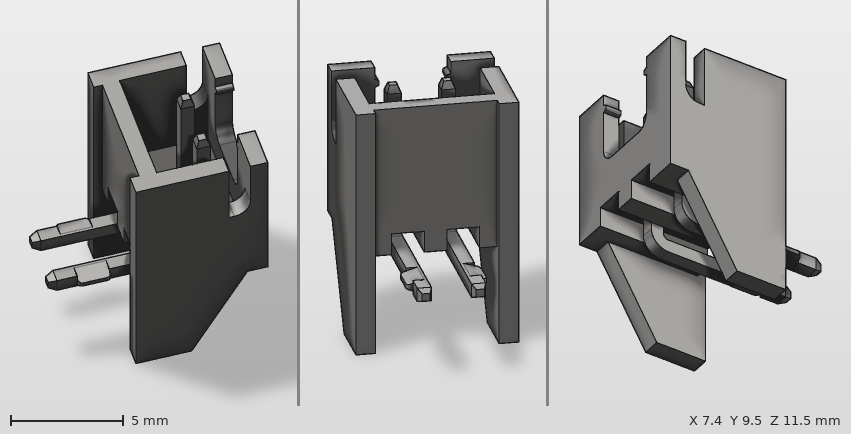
import cadquery as cq
import math


HEIGHT = 11.5
WIDTH = 7.4
DEPTH = 6.12
SIDE_WALL = 0.85
BACK_WALL = 0.8
BODY_HEIGHT = 7.0
BODY_BOTTOM = HEIGHT - BODY_HEIGHT
FLOOR_THICKNESS = 0.8

FRONT_RECESS_DEPTH = 0.41
SIDE_WALL_FRONT = 0.9
FRONT_FACE_Y = FRONT_RECESS_DEPTH - DEPTH
FRONT_WALL = 0.8

SLOPE_START = 0.94
SLOPE_END = 3.53

CHANNEL_WIDTH = 1.48
CHANNEL_HEIGHT = 1.0
CHANNEL_SPACING = 2.51

SLOT_CORNER = 0.75
SLOT_WIDTH = 1.0
SLOT_DEPTH = 3.1
NOTCH_WIDTH = 3.45
NOTCH_DEPTH = 3.75
NOTCH_CORNER = 0.65

RIB_DROP = 0.55
RIB_HEIGHT = 0.4
RIB_TIP_HEIGHT = 0.22
RIB_REACH = 0.2
RIB_ROUNDING = 0.09

PIN_SIZE = 0.64
PIN_SPACING = 2.46
PIN_Y = -2.32
PIN_TOP = HEIGHT - 0.2
PIN_LEG_Z = 3.9
PIN_FRONT_Y = -9.5
PIN_TIP_LENGTH = 0.37
PIN_TIP_SIZE = 0.37
BEND_INNER_RADIUS = 0.26

WING_LENGTH = 1.5
WING_BACK_Y = -6.69
WING_REACH = 0.28
WING_EDGE = 0.21
WING_ROOT = 0.14
WING_CORNER = 0.2

OVERCUT = 0.12


def box(x_min, x_max, y_min, y_max, z_min, z_max):
    return cq.Workplane("XY").box(
        x_max - x_min, y_max - y_min, z_max - z_min, centered=False
    ).translate((x_min, y_min, z_min))


def outer_block():
    """Side outline, with the sloped rear edge, extruded across the full width."""
    outline = [
        (0, HEIGHT),
        (0, BODY_BOTTOM),
        (-SLOPE_START, BODY_BOTTOM),
        (-SLOPE_END, 0),
        (-DEPTH, 0),
        (-DEPTH, HEIGHT),
    ]
    return cq.Workplane("YZ").polyline(outline).close().extrude(WIDTH / 2, both=True)


def pocket():
    half_width = WIDTH / 2 - SIDE_WALL
    floor_z = BODY_BOTTOM + CHANNEL_HEIGHT + FLOOR_THICKNESS
    return box(
        -half_width, half_width, FRONT_FACE_Y + FRONT_WALL, -BACK_WALL, floor_z, HEIGHT + OVERCUT
    )


def front_recess():
    half_width = WIDTH / 2 - SIDE_WALL_FRONT
    return box(-half_width, half_width, -DEPTH - OVERCUT, FRONT_FACE_Y, -OVERCUT, HEIGHT + OVERCUT)


def space_below_body():
    half_width = WIDTH / 2 - SIDE_WALL_FRONT
    return box(-half_width, half_width, -DEPTH - OVERCUT, OVERCUT, -OVERCUT, BODY_BOTTOM)


def base_channel(x):
    half_width = CHANNEL_WIDTH / 2
    return box(
        x - half_width, x + half_width, -DEPTH, OVERCUT,
        BODY_BOTTOM - OVERCUT, BODY_BOTTOM + CHANNEL_HEIGHT,
    )


def side_slot(side):
    """Slot behind one side wall, rounded where its floor meets the back wall."""
    inner_x = side * (WIDTH / 2 - SIDE_WALL)
    outer_x = side * (WIDTH / 2 + OVERCUT)
    slot = box(
        min(inner_x, outer_x), max(inner_x, outer_x),
        -BACK_WALL - SLOT_WIDTH, -BACK_WALL,
        HEIGHT - SLOT_DEPTH, HEIGHT + OVERCUT,
    )
    return slot.edges("|X").edges(">Y and <Z").fillet(SLOT_CORNER)


def back_notch():
    half_width = NOTCH_WIDTH / 2
    notch = box(
        -half_width, half_width, -BACK_WALL, OVERCUT, HEIGHT - NOTCH_DEPTH, HEIGHT + OVERCUT
    )
    return notch.edges("|Y and <Z").fillet(NOTCH_CORNER)


def latch_rib(side):
    """Tapered rib along Y with a rounded tip, reaching into the notch from one of its edges."""
    root_x = side * NOTCH_WIDTH / 2
    tip_x = root_x - side * RIB_REACH
    top_z = HEIGHT - RIB_DROP
    middle_z = top_z - RIB_HEIGHT / 2
    profile = [
        (root_x, top_z),
        (tip_x, middle_z + RIB_TIP_HEIGHT / 2),
        (tip_x, middle_z - RIB_TIP_HEIGHT / 2),
        (root_x, top_z - RIB_HEIGHT),
    ]
    rib = cq.Workplane("XZ").polyline(profile).close().extrude(BACK_WALL)
    tip_face = "<X" if side > 0 else ">X"
    return rib.faces(tip_face).edges("|Y").fillet(RIB_ROUNDING)


def build_housing():
    housing = outer_block()
    for cutter in (pocket(), front_recess(), space_below_body(), back_notch()):
        housing = housing.cut(cutter)
    for side in (-1, 1):
        housing = housing.cut(base_channel(side * CHANNEL_SPACING / 2))
        housing = housing.cut(side_slot(side))
        housing = housing.union(latch_rib(side))
    return housing


def pin_tip(plane):
    """Square taper from the full pin section, growing along the normal of the plane."""
    return (
        cq.Workplane(plane)
        .rect(PIN_SIZE, PIN_SIZE)
        .workplane(offset=PIN_TIP_LENGTH)
        .rect(PIN_TIP_SIZE, PIN_TIP_SIZE)
        .loft()
    )


def bent_pin():
    """Square wire with an upright leg, a round bend and a forward leg, centred on X = 0."""
    half = PIN_SIZE / 2
    bend_radius = BEND_INNER_RADIUS + half
    upright_end = PIN_TOP - PIN_TIP_LENGTH
    forward_end = PIN_FRONT_Y + PIN_TIP_LENGTH
    bend_middle = bend_radius * (1 - math.sqrt(0.5))
    path = (
        cq.Workplane("YZ")
        .moveTo(PIN_Y, upright_end)
        .lineTo(PIN_Y, PIN_LEG_Z + bend_radius)
        .threePointArc(
            (PIN_Y - bend_middle, PIN_LEG_Z + bend_middle), (PIN_Y - bend_radius, PIN_LEG_Z)
        )
        .lineTo(forward_end, PIN_LEG_Z)
    )
    wire = (
        cq.Workplane("XY", origin=(0, PIN_Y, upright_end)).rect(PIN_SIZE, PIN_SIZE).sweep(path)
    )
    upper_tip = pin_tip(cq.Plane(origin=(0, PIN_Y, upright_end)))
    forward_tip = pin_tip(
        cq.Plane(origin=(0, forward_end, PIN_LEG_Z), xDir=(1, 0, 0), normal=(0, -1, 0))
    )
    return wire.union(upper_tip).union(forward_tip)


def pressed_wing(side):
    """Section that replaces a length of the leg: full height inside, thinning to an outer edge."""
    half = PIN_SIZE / 2
    edge_x = side * (half + WING_REACH)
    root_x = side * (WING_ROOT - half)
    profile = [
        (-side * half, half),
        (root_x, half),
        (edge_x, WING_EDGE / 2),
        (edge_x, -WING_EDGE / 2),
        (root_x, -half),
        (-side * half, -half),
    ]
    wing = (
        cq.Workplane("XZ", origin=(0, WING_BACK_Y, PIN_LEG_Z))
        .polyline(profile)
        .close()
        .extrude(WING_LENGTH)
    )
    outer_edges = ">X" if side > 0 else "<X"
    return wing.faces(outer_edges).edges("|Z").fillet(WING_CORNER)


def build_pin(side):
    """Pin on one side of the symmetry plane, with its wing pointing away from the plane."""
    half = PIN_SIZE / 2
    pressed_length = box(
        -half, half, WING_BACK_Y - WING_LENGTH, WING_BACK_Y, PIN_LEG_Z - half, PIN_LEG_Z + half
    )
    pin = bent_pin().cut(pressed_length).union(pressed_wing(side))
    return pin.translate((side * PIN_SPACING / 2, 0, 0))


pins = [build_pin(side) for side in (-1, 1)]

housing = build_housing()
for pin in pins:
    housing = housing.cut(pin)

result = cq.Compound.makeCompound([*housing.solids().vals(), *[pin.solids().val() for pin in pins]])